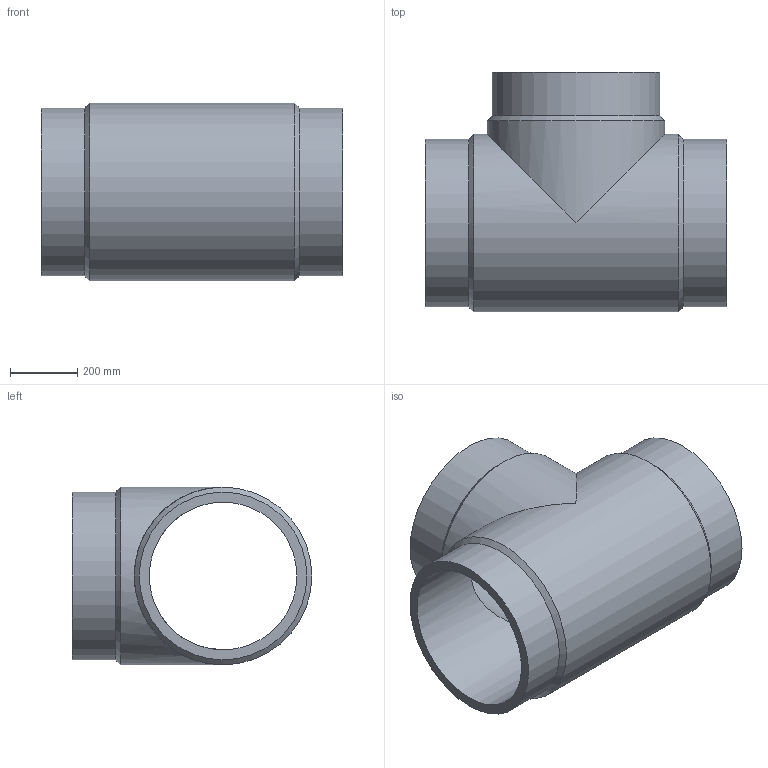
import cadquery as cq

pipe_diameter = 500.0
pipe_wall = 29.7
run_length = 900.0
spigot_length = 130.0

branch_length = run_length / 2
pipe_radius = pipe_diameter / 2
bore_radius = pipe_radius - pipe_wall
body_radius = pipe_radius + pipe_wall / 2
shoulder_chamfer = body_radius - pipe_radius


def cylinder_from_axis(direction, radius, length):
    """Solid cylinder starting at the tee centre and running along direction."""
    return cq.Workplane(cq.Solid.makeCylinder(radius, length, cq.Vector(0, 0, 0), direction))


def run_cylinder(radius, length):
    """Solid cylinder along X, centred on the tee centre."""
    start = cq.Vector(-length / 2, 0, 0)
    return cq.Workplane(cq.Solid.makeCylinder(radius, length, start, cq.Vector(1, 0, 0)))


def make_run():
    body_length = run_length - 2 * spigot_length
    body = run_cylinder(body_radius, body_length).faces("<X or >X").chamfer(shoulder_chamfer)
    return body.union(run_cylinder(pipe_radius, run_length))


def make_branch():
    along_branch = cq.Vector(0, 1, 0)
    body = cylinder_from_axis(along_branch, body_radius, branch_length - spigot_length)
    body = body.faces(">Y").chamfer(shoulder_chamfer)
    return body.union(cylinder_from_axis(along_branch, pipe_radius, branch_length))


def make_bores():
    branch_bore = cylinder_from_axis(cq.Vector(0, 1, 0), bore_radius, branch_length)
    return run_cylinder(bore_radius, run_length).union(branch_bore)


result = make_run().union(make_branch()).cut(make_bores())